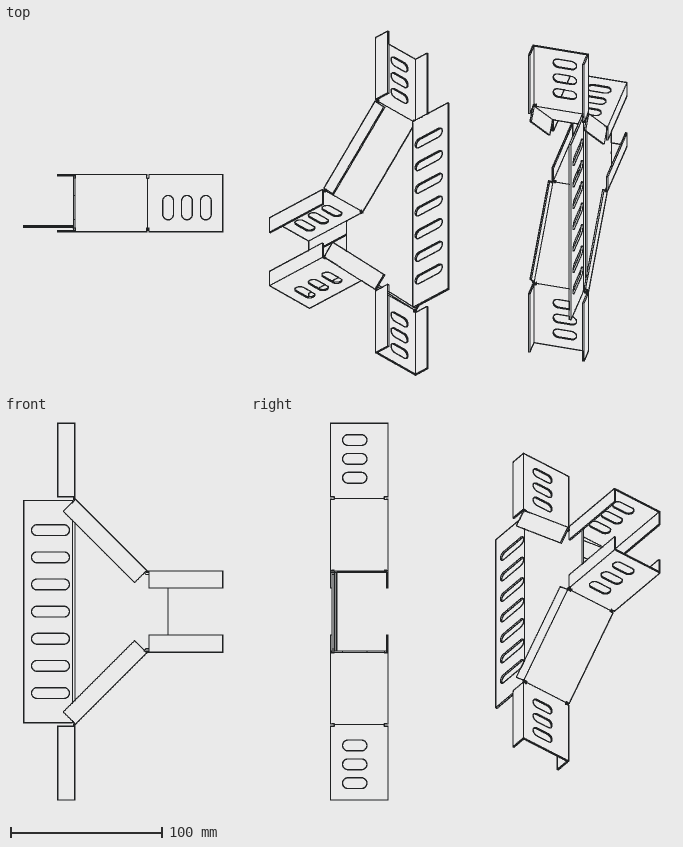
import cadquery as cq
import math

TOTAL_X = 131.5
TOTAL_Y = 38.0
TOTAL_Z = 249.0
RAIL_SHEET = 1.0
PLATE_SHEET = 1.2

LEG_LENGTH = 49.8
FLANGE_WIDTH = 11.5
BRANCH_HALF_WIDTH = 27.0
STRAIGHT_GAP = 1.0
DIAGONAL_GAP = 0.5
RELIEF_DEPTH = 2.5
RELIEF_REACH = 4.0

RAIL_SLOT_COUNT = 3
RAIL_SLOT_LENGTH = 16.0
RAIL_SLOT_WIDTH = 7.0
RAIL_SLOT_PITCH = 12.5
RAIL_SLOT_END = 11.2
RAIL_SLOT_Y = -3.0

PLATE_END_X = 95.4
PLATE_GAP = 1.2
JOGGLE_X = 32.4
JOGGLE_RUN = 1.5
JOGGLE_DEPTH = 2.0
FLANGE_HALF_HEIGHT = 73.5
PLATE_SLOT_COUNT = 7
PLATE_SLOT_LENGTH = 25.0
PLATE_SLOT_WIDTH = 7.0
PLATE_SLOT_PITCH = 18.0
PLATE_SLOT_X = 17.7

front_y = -TOTAL_Y / 2
upper_bend_z = TOTAL_Z / 2 - LEG_LENGTH
lower_bend_x = TOTAL_X - LEG_LENGTH
upper_bend_x = lower_bend_x - (upper_bend_z - BRANCH_HALF_WIDTH)
mitre = math.tan(math.radians(45 / 2))


def prism(points, y_start, y_end):
    """Extrude an X-Z outline from y_start to y_end."""
    return cq.Workplane("XZ", origin=(0, y_start, 0)).polyline(points).close().extrude(y_start - y_end)


def rail_path(inset):
    """Path of the web, moved inward from its outer face by inset."""
    return [
        (upper_bend_x - inset, TOTAL_Z / 2),
        (upper_bend_x - inset, upper_bend_z - mitre * inset),
        (lower_bend_x - mitre * inset, BRANCH_HALF_WIDTH - inset),
        (TOTAL_X, BRANCH_HALF_WIDTH - inset),
    ]


def rail_web():
    """Bent web, narrowed by corner reliefs at both bends."""
    web = prism(rail_path(0) + rail_path(RAIL_SHEET)[::-1], front_y, -front_y)
    width = STRAIGHT_GAP + DIAGONAL_GAP
    shift = (STRAIGHT_GAP - DIAGONAL_GAP) / 2
    upper_relief = cq.Workplane("XY").box(RELIEF_REACH, 2 * RELIEF_DEPTH, width)
    lower_relief = cq.Workplane("XY").box(width, 2 * RELIEF_DEPTH, RELIEF_REACH)
    for edge_y in (front_y, -front_y):
        web = web.cut(upper_relief.translate((upper_bend_x, edge_y, upper_bend_z + shift)))
        web = web.cut(lower_relief.translate((lower_bend_x + shift, edge_y, BRANCH_HALF_WIDTH)))
    return web


def rail_flanges(y_start):
    """Three separate flange strips, one on each leg, at one edge of the web."""
    y_end = y_start + RAIL_SHEET
    straight = LEG_LENGTH - STRAIGHT_GAP
    vertical = cq.Workplane("XY").box(FLANGE_WIDTH, RAIL_SHEET, straight, centered=False)
    vertical = vertical.translate((upper_bend_x - FLANGE_WIDTH, y_start, upper_bend_z + STRAIGHT_GAP))
    horizontal = cq.Workplane("XY").box(straight, RAIL_SHEET, FLANGE_WIDTH, centered=False)
    horizontal_corner = (lower_bend_x + STRAIGHT_GAP, y_start, BRANCH_HALF_WIDTH - FLANGE_WIDTH)
    horizontal = horizontal.translate(horizontal_corner)
    drop = FLANGE_WIDTH / math.sqrt(2)
    trim = DIAGONAL_GAP / math.sqrt(2)
    start_x, start_z = upper_bend_x + trim, upper_bend_z - trim
    end_x, end_z = lower_bend_x - trim, BRANCH_HALF_WIDTH + trim
    diagonal_outline = [
        (start_x, start_z),
        (end_x, end_z),
        (end_x - drop, end_z - drop),
        (start_x - drop, start_z - drop),
    ]
    diagonal = prism(diagonal_outline, y_start, y_end)
    return [vertical, diagonal, horizontal]


def rail_slots():
    """Cutters for the slots in the vertical and horizontal legs."""
    cutters = []
    for i in range(RAIL_SLOT_COUNT):
        from_end = RAIL_SLOT_END + i * RAIL_SLOT_PITCH
        horizontal = cq.Workplane("XY").center(TOTAL_X - from_end, RAIL_SLOT_Y)
        horizontal = horizontal.slot2D(RAIL_SLOT_LENGTH, RAIL_SLOT_WIDTH, 90).extrude(BRANCH_HALF_WIDTH)
        vertical = cq.Workplane("YZ").center(RAIL_SLOT_Y, TOTAL_Z / 2 - from_end)
        vertical = vertical.slot2D(RAIL_SLOT_LENGTH, RAIL_SLOT_WIDTH).extrude(upper_bend_x)
        cutters += [horizontal, vertical]
    return cutters


def make_rail():
    """Upper side rail."""
    rail = rail_web()
    for y_start in (front_y, -front_y - RAIL_SHEET):
        for flange in rail_flanges(y_start):
            rail = rail.union(flange)
    for slot in rail_slots():
        rail = rail.cut(slot)
    return rail


def plate_sheet():
    """Joggled sheet of full height: the slotted flange steps back from the main face."""
    face_y = front_y + RAIL_SHEET
    flange_y = face_y + JOGGLE_DEPTH
    joggle_end = JOGGLE_X + JOGGLE_RUN
    profile = [
        (0, flange_y),
        (JOGGLE_X, flange_y),
        (joggle_end, face_y),
        (PLATE_END_X, face_y),
        (PLATE_END_X, face_y + PLATE_SHEET),
        (joggle_end, face_y + PLATE_SHEET),
        (JOGGLE_X, flange_y + PLATE_SHEET),
        (0, flange_y + PLATE_SHEET),
    ]
    return cq.Workplane("XY").polyline(profile).close().extrude(TOTAL_Z / 2, both=True)


def plate_outline():
    """Trapezoid that follows the inner web faces of both rails, extruded through Y."""
    _, upper_bend, lower_bend, _ = rail_path(RAIL_SHEET + PLATE_GAP)
    flange_end_x = sum(upper_bend) - FLANGE_HALF_HEIGHT
    upper_half = [
        (0, FLANGE_HALF_HEIGHT),
        (flange_end_x, FLANGE_HALF_HEIGHT),
        lower_bend,
        (PLATE_END_X, lower_bend[1]),
    ]
    lower_half = [(x, -z) for x, z in reversed(upper_half)]
    return prism(upper_half + lower_half, front_y, -front_y)


def plate_slots():
    """Column of slots along the flange, elongated in X."""
    slots = cq.Workplane("XZ").center(PLATE_SLOT_X, 0).rarray(2.5, PLATE_SLOT_PITCH, 1, PLATE_SLOT_COUNT)
    return slots.slot2D(PLATE_SLOT_LENGTH, PLATE_SLOT_WIDTH).extrude(TOTAL_Y, both=True)


upper_rail = make_rail()
rails = [upper_rail, upper_rail.mirror("XY")]
base_plate = plate_sheet().intersect(plate_outline()).cut(plate_slots())

result = cq.Compound.makeCompound([rail.val() for rail in rails] + [base_plate.val()])